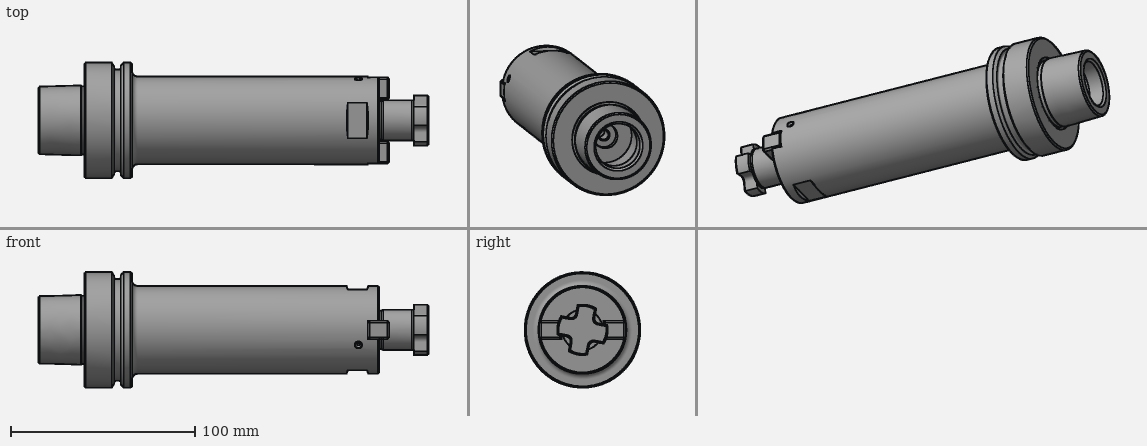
import cadquery as cq
import math

TOTAL_LENGTH = 212.0

TAPER_BASE_DIA = 38.2
TAPER_MOUTH_DIA = 36.9
TAPER_CHAMFER = 0.8
NECK_LENGTH = 2.0
NECK_DIA = 37.3
FACE_RELIEF_DIA = 40.3
FACE_RELIEF_DEPTH = 0.6
BORE_DIA = 24.5
BORE_CHAMFER = 1.3
BORE_LIP_LENGTH = 9.3
CLAMP_GROOVE_DIA = 28.8
BORE_DEPTH = 31.8
COUNTERBORE_DIA = 13.1
COUNTERBORE_DEPTH = 4.2
COOLANT_HOLE_DIA = 5.0
COOLANT_HOLE_DEPTH = 10.5
COOLANT_CHAMFER = 0.6

FLANGE_START = 25.0
FLANGE_END = 50.9
FLANGE_DIA = 63.0
FLANGE_CHAMFER = 0.8
GROOVE_START = 39.9
GROOVE_END = 46.5
GROOVE_FLOOR_DIA = 55.5
GROOVE_FLOOR_START = 41.3
GROOVE_FLOOR_END = 44.7
GROOVE_LEFT_BEVEL_DEPTH = 2.3
GROOVE_RIGHT_BEVEL_DEPTH = 1.7
GROOVE_FILLET = 0.6

BODY_END = 185.0
BODY_DIA = 48.0
BODY_CHAMFER = 0.8
BODY_FILLET = 3.0
FLAT_START = 168.1
FLAT_LENGTH = 10.4
FLAT_END_SLOPE = 20.0
ACROSS_FLATS = 43.9

SPIGOT_END = 202.9
SPIGOT_DIA = 22.0
UNDERCUT_DIA = 21.0
UNDERCUT_LENGTH = 1.0
UNDERCUT_RAMP = 1.3

KEY_LENGTH = 11.7
KEY_WIDTH = 10.0
KEY_START = 179.0
KEY_INNER = 11.2
KEY_OUTER = 23.5
KEY_CHAMFER = 1.0

HEAD_START = 204.0
HEAD_DIA = 27.5
HEAD_CHAMFER = 0.8
LOBE_COUNT = 4
LOBE_WIDTH = 10.4
LOBE_TILT = 11.0
NOTCH_RADIUS = 2.5

NOZZLE_X = 173.8
NOZZLE_DIA = 4.0
NOZZLE_LENGTH = 4.2
NOZZLE_TILT = 20.0
NOZZLE_MOUTH_DIA = 3.4
NOZZLE_MOUTH_DEPTH = 1.0
NOZZLE_BORE_DIA = 1.3

PAIR_ANGLES = (0, 180)

FLANGE_RADIUS = FLANGE_DIA / 2
BODY_RADIUS = BODY_DIA / 2
HEAD_LENGTH = TOTAL_LENGTH - HEAD_START


def turned(points):
    """Solid of revolution about X from (x, radius) points that start and end on the axis."""
    profile = cq.Workplane("XY").polyline(points).close()
    return profile.revolve(360, (0, 0, 0), (1, 0, 0))


def spun(shape, angle):
    """Copy of a shape turned about the tool axis."""
    return shape.rotate((0, 0, 0), (1, 0, 0), angle)


def taper_shank():
    base = TAPER_BASE_DIA / 2
    mouth = TAPER_MOUTH_DIA / 2
    neck = NECK_DIA / 2
    relief = FACE_RELIEF_DIA / 2
    neck_start = FLANGE_START - NECK_LENGTH
    relief_floor = FLANGE_START + FACE_RELIEF_DEPTH
    shank = turned([
        (0, 0),
        (0, mouth - TAPER_CHAMFER),
        (TAPER_CHAMFER, mouth),
        (neck_start, base),
        (neck_start + (base - neck), neck),
        (relief_floor, neck),
        (relief_floor, 0),
    ])
    face_relief = (
        cq.Workplane("YZ", origin=(FLANGE_START, 0, 0))
        .circle(relief).circle(neck).extrude(FACE_RELIEF_DEPTH)
    )
    return shank, face_relief


def gripper_groove():
    """Ring cut from the flange rim: bevelled mouth, straight walls and rounded floor corners."""
    floor = GROOVE_FLOOR_DIA / 2
    corner = floor + GROOVE_FILLET
    profile = (
        cq.Workplane("XY")
        .moveTo(GROOVE_START, FLANGE_RADIUS)
        .lineTo(GROOVE_FLOOR_START, FLANGE_RADIUS - GROOVE_LEFT_BEVEL_DEPTH)
        .lineTo(GROOVE_FLOOR_START, corner)
        .radiusArc((GROOVE_FLOOR_START + GROOVE_FILLET, floor), -GROOVE_FILLET)
        .lineTo(GROOVE_FLOOR_END - GROOVE_FILLET, floor)
        .radiusArc((GROOVE_FLOOR_END, corner), -GROOVE_FILLET)
        .lineTo(GROOVE_FLOOR_END, FLANGE_RADIUS - GROOVE_RIGHT_BEVEL_DEPTH)
        .lineTo(GROOVE_END, FLANGE_RADIUS)
        .close()
    )
    return profile.revolve(360, (0, 0, 0), (1, 0, 0))


def flange():
    blank = (
        cq.Workplane("YZ", origin=(FLANGE_START, 0, 0))
        .circle(FLANGE_RADIUS).extrude(FLANGE_END - FLANGE_START)
        .edges().chamfer(FLANGE_CHAMFER)
    )
    return blank.cut(gripper_groove())


def body_cylinder():
    profile = (
        cq.Workplane("XY")
        .moveTo(FLANGE_END, 0)
        .lineTo(FLANGE_END, BODY_RADIUS + BODY_FILLET)
        .radiusArc((FLANGE_END + BODY_FILLET, BODY_RADIUS), -BODY_FILLET)
        .lineTo(BODY_END - BODY_CHAMFER, BODY_RADIUS)
        .lineTo(BODY_END, BODY_RADIUS - BODY_CHAMFER)
        .lineTo(BODY_END, 0)
        .close()
    )
    return profile.revolve(360, (0, 0, 0), (1, 0, 0))


def spigot():
    radius = SPIGOT_DIA / 2
    undercut = UNDERCUT_DIA / 2
    ramp_start = BODY_END + UNDERCUT_LENGTH
    return turned([
        (BODY_END, 0),
        (BODY_END, undercut),
        (ramp_start, undercut),
        (ramp_start + UNDERCUT_RAMP, radius),
        (SPIGOT_END, radius),
        (SPIGOT_END, 0),
    ])


def stepped_bore():
    lip = BORE_DIA / 2
    groove = CLAMP_GROOVE_DIA / 2
    counterbore = COUNTERBORE_DIA / 2
    coolant = COOLANT_HOLE_DIA / 2
    counterbore_end = BORE_DEPTH + COUNTERBORE_DEPTH
    coolant_end = counterbore_end + COOLANT_HOLE_DEPTH
    return turned([
        (0, 0),
        (0, lip + BORE_CHAMFER),
        (BORE_CHAMFER, lip),
        (BORE_LIP_LENGTH, lip),
        (BORE_LIP_LENGTH, groove),
        (BORE_DEPTH, groove),
        (BORE_DEPTH, counterbore),
        (counterbore_end, counterbore),
        (counterbore_end, coolant + COOLANT_CHAMFER),
        (counterbore_end + COOLANT_CHAMFER, coolant),
        (coolant_end, coolant),
        (coolant_end, 0),
    ])


def wrench_flat_cutter():
    """Bar along Y with sloping ends that leaves the +Z flat when cut from the body."""
    floor = ACROSS_FLATS / 2
    flat_end = FLAT_START + FLAT_LENGTH
    spread = (BODY_RADIUS - floor) * math.tan(math.radians(FLAT_END_SLOPE))
    return (
        cq.Workplane("XZ")
        .polyline([
            (FLAT_START, floor),
            (flat_end, floor),
            (flat_end + spread, BODY_RADIUS),
            (FLAT_START - spread, BODY_RADIUS),
        ])
        .close()
        .extrude(BODY_RADIUS, both=True)
    )


def key_block(outer):
    """Key-sized block on the -Y side that reaches out to the given distance from the axis."""
    block = cq.Workplane("XY").box(KEY_LENGTH, outer - KEY_INNER, KEY_WIDTH, centered=(False, False, True))
    return block.translate((KEY_START, -outer, 0))


def nozzle_blank():
    """Plain cylinder that fills one nozzle hole."""
    blank = (
        cq.Workplane("XZ", origin=(NOZZLE_X, NOZZLE_LENGTH - BODY_RADIUS, 0))
        .circle(NOZZLE_DIA / 2).extrude(NOZZLE_LENGTH)
    )
    return spun(blank, NOZZLE_TILT)


def make_arbor():
    shank, face_relief = taper_shank()
    arbor = flange().cut(face_relief).union(shank)
    arbor = arbor.union(body_cylinder()).union(spigot()).cut(stepped_bore())
    for angle in PAIR_ANGLES:
        arbor = arbor.cut(spun(wrench_flat_cutter(), angle))
        arbor = arbor.cut(spun(key_block(BODY_DIA), angle))
        arbor = arbor.cut(spun(nozzle_blank(), angle))
    return arbor


def make_key(angle):
    return spun(key_block(KEY_OUTER).edges().chamfer(KEY_CHAMFER), angle)


def notch_cutter():
    """Round-bottomed notch between two neighbouring lobes, opening along +Y and +Z."""
    side = LOBE_WIDTH / 2
    arc_end = side + NOTCH_RADIUS
    return (
        cq.Workplane("YZ", origin=(HEAD_START, 0, 0))
        .moveTo(side, HEAD_DIA)
        .lineTo(side, arc_end)
        .radiusArc((arc_end, side), -NOTCH_RADIUS)
        .lineTo(HEAD_DIA, side)
        .lineTo(HEAD_DIA, HEAD_DIA)
        .close()
        .extrude(HEAD_LENGTH)
    )


def make_screw():
    head = (
        cq.Workplane("YZ", origin=(HEAD_START, 0, 0))
        .circle(HEAD_DIA / 2).extrude(HEAD_LENGTH)
    )
    for index in range(LOBE_COUNT):
        head = head.cut(spun(notch_cutter(), index * 360 / LOBE_COUNT - LOBE_TILT))
    head = head.faces(">X").edges().chamfer(HEAD_CHAMFER)
    collar = (
        cq.Workplane("YZ", origin=(SPIGOT_END, 0, 0))
        .circle(SPIGOT_DIA / 2).extrude(HEAD_START - SPIGOT_END)
    )
    return head.union(collar)


def make_nozzle(angle):
    mouth = (
        cq.Workplane("XZ", origin=(NOZZLE_X, -BODY_RADIUS, 0))
        .circle(NOZZLE_MOUTH_DIA / 2)
        .workplane(offset=-NOZZLE_MOUTH_DEPTH)
        .circle(NOZZLE_BORE_DIA / 2)
        .loft()
    )
    bore = (
        cq.Workplane("XZ", origin=(NOZZLE_X, NOZZLE_LENGTH - BODY_RADIUS, 0))
        .circle(NOZZLE_BORE_DIA / 2).extrude(NOZZLE_LENGTH)
    )
    return spun(nozzle_blank().cut(spun(mouth.union(bore), NOZZLE_TILT)), angle)


arbor = make_arbor()
screw = make_screw()
keys = [make_key(angle) for angle in PAIR_ANGLES]
nozzles = [make_nozzle(angle) for angle in PAIR_ANGLES]

result = cq.Compound.makeCompound([
    arbor.val(),
    screw.val(),
    *[key.val() for key in keys],
    *[nozzle.val() for nozzle in nozzles],
])